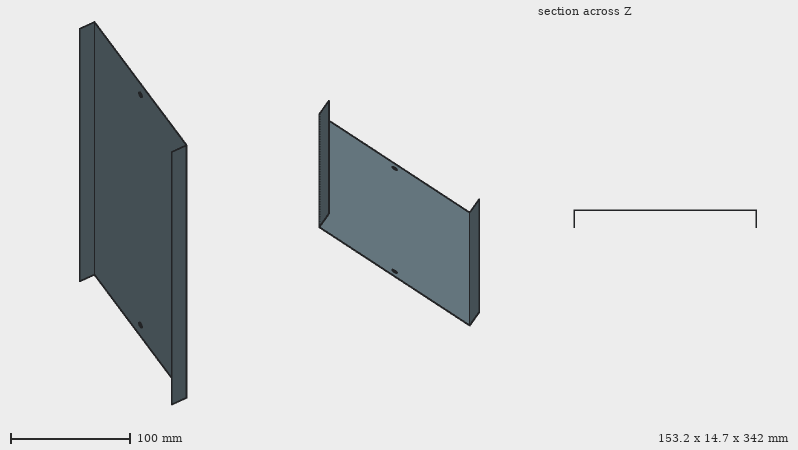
import cadquery as cq

width = 153.2
depth = 14.7
height = 342.0
sheet_thickness = 0.6

hole_diameter = 5.0
hole_edge_distance = 15.0
hole_spacing = height - 2 * hole_edge_distance

block = cq.Workplane("XY").box(width, depth, height)

channel_space = (
    cq.Workplane("XY")
    .box(width - 2 * sheet_thickness, depth, height)
    .translate((0, -sheet_thickness, 0))
)
panel = block.cut(channel_space)

holes = (
    cq.Workplane("XZ")
    .pushPoints([(0, -hole_spacing / 2), (0, hole_spacing / 2)])
    .circle(hole_diameter / 2)
    .extrude(depth, both=True)
)

result = panel.cut(holes)